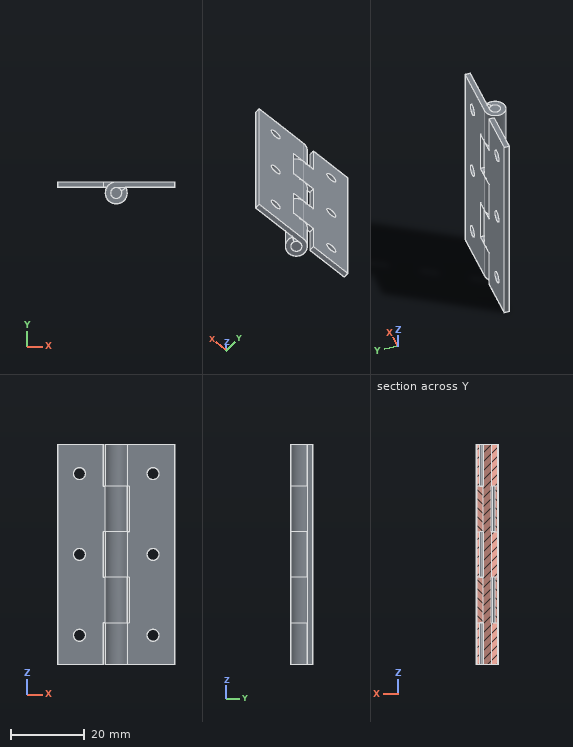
import cadquery as cq
import math

hinge_height = 60.0
hinge_width = 32.0
sheet_thickness = 1.5
pin_radius = 1.5
knuckle_radius = pin_radius + sheet_thickness

knuckle_clearance = 0.55
inner_knuckle_length = 12.4
outer_tip_angle = 29.0
inner_tip_angle = 20.0

hole_diameter = 3.2
hole_offset = 10.0
hole_pitch = 22.0

plate_edge = knuckle_radius + knuckle_clearance
plate_width = hinge_width / 2 - plate_edge

knuckle_ends = [
    -hinge_height / 2,
    -1.5 * inner_knuckle_length,
    -0.5 * inner_knuckle_length,
    0.5 * inner_knuckle_length,
    1.5 * inner_knuckle_length,
    hinge_height / 2,
]
knuckle_spans = list(zip(knuckle_ends[:-1], knuckle_ends[1:]))


def curl_point(radius, angle):
    """Point at the given polar position about the pin axis."""
    return (radius * math.cos(math.radians(angle)), radius * math.sin(math.radians(angle)))


def make_knuckle(bottom, top):
    """Strip running from the plate to the pin, then curling around it to a free tip."""
    return (
        cq.Workplane("XY", origin=(0, 0, bottom))
        .moveTo(plate_edge, knuckle_radius)
        .lineTo(0, knuckle_radius)
        .threePointArc((-knuckle_radius, 0), (0, -knuckle_radius))
        .threePointArc(
            curl_point(knuckle_radius, (outer_tip_angle - 90) / 2),
            curl_point(knuckle_radius, outer_tip_angle),
        )
        .lineTo(*curl_point(pin_radius, inner_tip_angle))
        .threePointArc(curl_point(pin_radius, (inner_tip_angle - 90) / 2), (0, -pin_radius))
        .threePointArc((-pin_radius, 0), (0, pin_radius))
        .lineTo(plate_edge, pin_radius)
        .close()
        .extrude(top - bottom)
    )


def make_leaf(spans):
    """Leaf on the +X side: a drilled plate with a knuckle over each height span."""
    leaf = cq.Workplane("XY").box(
        plate_width, sheet_thickness, hinge_height, centered=(False, False, True)
    ).translate((plate_edge, pin_radius, 0))
    for bottom, top in spans:
        leaf = leaf.union(make_knuckle(bottom, top))
    holes = (
        cq.Workplane("XZ", origin=(0, knuckle_radius, 0))
        .pushPoints([(hole_offset, row * hole_pitch) for row in (-1, 0, 1)])
        .circle(hole_diameter / 2)
        .extrude(sheet_thickness)
    )
    return leaf.cut(holes)


def make_pin():
    """Plain round pin, flush with both ends of the hinge."""
    return cq.Workplane("XY", origin=(0, 0, -hinge_height / 2)).circle(pin_radius).extrude(hinge_height)


outer_leaf = make_leaf(knuckle_spans[0::2])
inner_leaf = make_leaf(knuckle_spans[1::2]).mirror("YZ")
pin = make_pin()

result = cq.Compound.makeCompound([outer_leaf.val(), inner_leaf.val(), pin.val()])